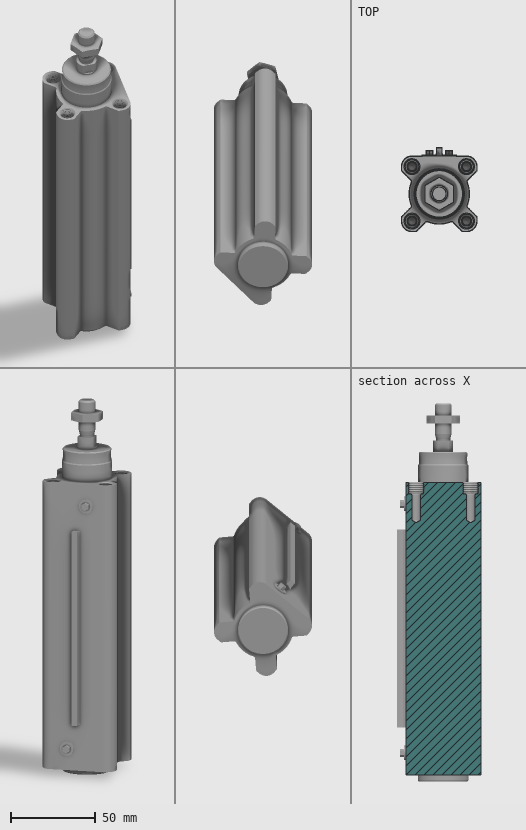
import cadquery as cq
import math


total_height = 225.0
boss_height = 4.0
barrel_top = 178.3
collar_step = 188.9
collar_top = 196.0
shoulder_top = 203.0
relief_top = 204.0
thread_bottom = 206.9
nut_bottom = 213.0
nut_thickness = 5.0

barrel_width = 45.0
barrel_radius = 18.0
tie_spacing = 32.5
lug_corner = 13.7
lug_corner_fillet = 1.0
lug_root_fillet = 1.1

hole_mouth_diameter = 9.5
thread_root_diameter = 9.0
thread_crest_diameter = 8.0
thread_pitch = 1.1
thread_count = 6
core_mouth_diameter = 6.0
core_diameter = 5.0
core_depth = 22.5
drill_point_angle = 118.0

collar_diameter = 30.0
wiper_diameter = 29.0
wiper_waist = 0.2
edge_chamfer = 0.7

rail_length = 118.0
rail_width = 3.4
rail_height = 5.0
rail_foot_width = 4.7
rail_foot_height = 1.4

screw_offset = 5.9
screw_inset = 13.0
screw_disk_diameter = 8.5
screw_disk_height = 0.7
screw_recess_diameter = 5.5
screw_hex_width = 4.0
screw_head_height = 3.2

rod_diameter = 12.0
rod_flats_width = 10.0
rod_flats_bottom = 197.0
relief_diameter = 8.5
rod_tip_chamfer = 1.0
rod_thread_diameter = 10.0
nut_width = 17.0
nut_chamfer_height = 0.2

half_width = barrel_width / 2
tie_offset = tie_spacing / 2
barrel_length = barrel_top - boss_height
barrel_middle = (boss_height + barrel_top) / 2
rod_radius = rod_diameter / 2
rod_thread_radius = rod_thread_diameter / 2
relief_radius = relief_diameter / 2


def hex_diameter(width_across_flats):
    """Diameter of the circle through the corners of a hexagon."""
    return width_across_flats / math.cos(math.radians(30))


def fillet_upright_edges(body, axis_distance, fillet_radius):
    """Round the edges along Z that lie at a given distance from the Z axis."""
    upright_edges = body.edges("|Z").filter(
        lambda edge: math.isclose(math.hypot(edge.Center().x, edge.Center().y), axis_distance, abs_tol=0.02)
    )
    return body.newObject(upright_edges.vals()).fillet(fillet_radius)


def make_lug(angle):
    """One corner lug, with parallel diagonal walls and a rounded outer corner."""
    lug_radius = half_width - tie_offset
    arc_middle = tie_offset + lug_radius * math.sqrt(0.5)
    wall_offset = half_width - lug_corner
    return (
        cq.Workplane("XY", origin=(0, 0, boss_height))
        .moveTo(wall_offset, 0)
        .lineTo(half_width, lug_corner)
        .lineTo(half_width, tie_offset)
        .threePointArc((arc_middle, arc_middle), (tie_offset, half_width))
        .lineTo(lug_corner, half_width)
        .lineTo(0, wall_offset)
        .close()
        .extrude(barrel_length)
        .rotate((0, 0, 0), (0, 0, 1), angle)
    )


def make_barrel():
    """Round tube with four lugs, closed to a flat face on the +Y side."""
    barrel = (
        cq.Workplane("XY", origin=(0, 0, boss_height))
        .transformed(rotate=(0, 0, 90))
        .circle(barrel_radius)
        .extrude(barrel_length)
    )
    for angle in (0, 90, 180, 270):
        barrel = barrel.union(make_lug(angle))
    flat_side = (
        cq.Workplane("XY", origin=(0, 0, boss_height))
        .polyline([(0, 0), (lug_corner, half_width), (-lug_corner, half_width)])
        .close()
        .extrude(barrel_length)
    )
    barrel = barrel.union(flat_side)
    barrel = fillet_upright_edges(barrel, barrel_radius, lug_root_fillet)
    return fillet_upright_edges(barrel, math.hypot(half_width, lug_corner), lug_corner_fillet)


def make_corner_holes():
    """Grooved threads over narrower blind core holes with drill points, cut from the top."""
    mouth_radius = hole_mouth_diameter / 2
    root_radius = thread_root_diameter / 2
    crest_radius = thread_crest_diameter / 2
    core_mouth_radius = core_mouth_diameter / 2
    core_radius = core_diameter / 2
    thread_start = mouth_radius - root_radius
    thread_end = thread_start + thread_count * thread_pitch
    core_chamfer = core_mouth_radius - core_radius
    point_depth = core_radius / math.tan(math.radians(drill_point_angle / 2))
    profile = [(0, 0), (mouth_radius, 0), (root_radius, -thread_start)]
    for turn in range(thread_count):
        turn_depth = thread_start + turn * thread_pitch
        profile.append((crest_radius, -turn_depth - thread_pitch / 2))
        profile.append((root_radius, -turn_depth - thread_pitch))
    profile += [
        (core_mouth_radius, -thread_end),
        (core_radius, -thread_end - core_chamfer),
        (core_radius, -core_depth),
        (0, -core_depth - point_depth),
    ]
    hole = cq.Workplane("XZ").polyline(profile).close().revolve(360, (0, 0), (0, 1)).val()
    return (
        cq.Workplane("XY", origin=(0, 0, barrel_top))
        .rect(tie_spacing, tie_spacing, forConstruction=True)
        .vertices()
        .eachpoint(lambda place: hole.moved(place), combine=False)
    )


def make_collar():
    """Wide collar with the slightly waisted wiper ring above it."""
    collar_radius = collar_diameter / 2
    wiper_radius = wiper_diameter / 2
    wiper_edge = collar_top - edge_chamfer
    return (
        cq.Workplane("XZ")
        .moveTo(0, barrel_top)
        .lineTo(collar_radius, barrel_top)
        .lineTo(collar_radius, collar_step - edge_chamfer)
        .lineTo(wiper_radius, collar_step)
        .threePointArc(
            (wiper_radius - wiper_waist, (collar_step + wiper_edge) / 2),
            (wiper_radius, wiper_edge),
        )
        .lineTo(wiper_radius - edge_chamfer, collar_top)
        .lineTo(0, collar_top)
        .close()
        .revolve(360, (0, 0), (0, 1))
    )


def make_boss():
    """Centring boss under the barrel."""
    boss = cq.Workplane("XY").circle(collar_diameter / 2).extrude(boss_height)
    return boss.faces("<Z").chamfer(edge_chamfer)


def make_rail():
    """Upright rail on the flat face, widening at its foot."""
    foot_top = half_width + rail_foot_height
    right_side = [
        (rail_foot_width / 2, half_width),
        (rail_width / 2, foot_top),
        (rail_width / 2, half_width + rail_height),
    ]
    left_side = [(-x, y) for x, y in reversed(right_side)]
    return (
        cq.Workplane("XY", origin=(0, 0, barrel_middle - rail_length / 2))
        .polyline(right_side + left_side)
        .close()
        .extrude(rail_length)
    )


def make_screw(x, z):
    """Recessed disk with a hexagonal screw head, standing on the flat face."""
    face = cq.Workplane("XZ", origin=(x, half_width, z))
    disk = (
        face.circle(screw_disk_diameter / 2)
        .circle(screw_recess_diameter / 2)
        .extrude(-screw_disk_height)
    )
    head = (
        face.transformed(rotate=(0, 0, 90))
        .polygon(6, hex_diameter(screw_hex_width))
        .extrude(-screw_head_height)
    )
    return disk, head


def make_rod():
    """Piston rod with spanner flats, thread relief and threaded end."""
    profile = [
        (0, barrel_top),
        (rod_radius, barrel_top),
        (rod_radius, shoulder_top),
        (relief_radius, shoulder_top),
        (relief_radius, relief_top),
        (rod_thread_radius, thread_bottom),
        (rod_thread_radius, total_height - rod_tip_chamfer),
        (rod_thread_radius - rod_tip_chamfer, total_height),
        (0, total_height),
    ]
    rod = cq.Workplane("XZ").polyline(profile).close().revolve(360, (0, 0), (0, 1))
    flats_height = shoulder_top - rod_flats_bottom
    flat_cutter = (
        cq.Workplane("XY", origin=(0, 0, rod_flats_bottom))
        .rect(2 * rod_diameter, 2 * rod_diameter)
        .rect(rod_flats_width, 2 * rod_diameter)
        .extrude(flats_height)
    )
    return rod.cut(flat_cutter)


def make_nut():
    """Hexagon nut with its corners along Y and bevelled on both faces."""
    corner_radius = hex_diameter(nut_width) / 2
    flat_radius = nut_width / 2
    bevel_profile = [
        (rod_thread_radius, 0),
        (flat_radius, 0),
        (corner_radius, nut_chamfer_height),
        (corner_radius, nut_thickness - nut_chamfer_height),
        (flat_radius, nut_thickness),
        (rod_thread_radius, nut_thickness),
    ]
    bevelled_ring = (
        cq.Workplane("XZ", origin=(0, 0, nut_bottom))
        .polyline(bevel_profile)
        .close()
        .revolve(360, (0, 0), (0, 1))
    )
    return (
        cq.Workplane("XY", origin=(0, 0, nut_bottom))
        .transformed(rotate=(0, 0, 90))
        .polygon(6, 2 * corner_radius)
        .extrude(nut_thickness)
        .intersect(bevelled_ring)
    )


def make_housing():
    """Barrel with boss, collar, rail and screws, bored for the rod and the corner holes."""
    housing = make_barrel().union(make_boss()).union(make_collar()).union(make_rail())
    upper_screw = (-screw_offset, barrel_top - screw_inset)
    lower_screw = (screw_offset, boss_height + screw_inset)
    for x, z in (upper_screw, lower_screw):
        disk, head = make_screw(x, z)
        housing = housing.union(disk).union(head)
    rod_bore = (
        cq.Workplane("XY", origin=(0, 0, barrel_top))
        .circle(rod_radius)
        .extrude(collar_top - barrel_top)
    )
    return housing.cut(rod_bore).cut(make_corner_holes())


housing = make_housing()
rod = make_rod()
nut = make_nut()

result = cq.Compound.makeCompound([housing.val(), rod.val(), nut.val()])